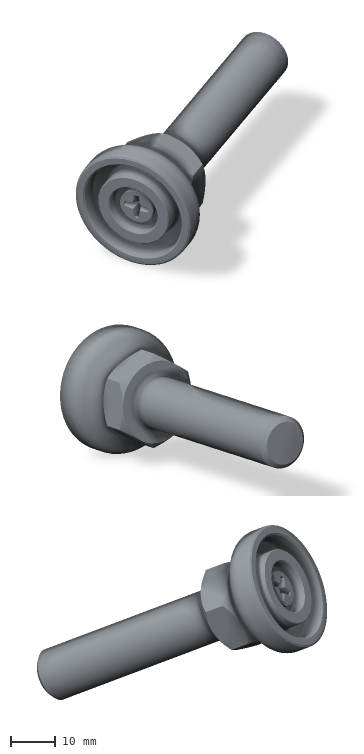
import cadquery as cq
import math

total_length = 67.8
edge_fillet = 0.5

shank_radius = 6.05
shank_tip_chamfer = 1.1
shank_root_fillet = 0.95
hex_across_flats = 19.0
hex_start = 10.25
hex_end = 17.9

screw_head_radius = 4.15
screw_head_face_y = 2.0
screw_shank_radius = 2.5
screw_tip_y = 14.9

recess_reach = 3.05
recess_tip_half_width = 0.6
recess_center_half_width = 1.0
recess_tip_depth = 1.0
recess_center_depth = 2.85
recess_core_radius = 1.35
recess_core_depth = 2.4

foot_radius = 14.5
rim_edge_radius = 14.45
rim_edge_y = 0.3
rim_draft_height = 0.95
rim_face_outer_radius = 14.05
rim_height = 4.0
shoulder_arc_radius = 3.8
shoulder_end_y = 7.05
dome_mid_radius = 10.6
dome_mid_y = 8.9
dome_top_radius = 7.7

groove_outer_radius = 12.15
groove_rim_chamfer = 0.4
groove_wall_end_y = rim_height
groove_slope = math.radians(30)
boss_radius = 8.9
boss_face_y = 0.35
boss_edge_chamfer = 0.2

bore_radius = 6.0
bore_edge_chamfer = 0.3
bore_wall_end_y = 2.85
bore_seat_y = 3.5


def revolve_about_y(profile):
    return profile.close().revolve(360, (0, 0, 0), (0, 1, 0))


def cylinder_along_y(radius, start_y, end_y):
    return cq.Workplane("XZ", origin=(0, start_y, 0)).circle(radius).extrude(start_y - end_y)


def on_arc(center, radius, angle):
    """Point on a circle in the XY plane, at an angle from +X toward +Y."""
    return (center[0] + radius * math.cos(angle), center[1] + radius * math.sin(angle))


def make_hexagon():
    corner_radius = hex_across_flats / math.sqrt(3)
    flat_radius = hex_across_flats / 2
    corner_cut = corner_radius - flat_radius
    prism = (
        cq.Workplane("XZ", origin=(0, hex_end, 0))
        .transformed(rotate=(0, 0, 90))
        .polygon(6, 2 * corner_radius)
        .extrude(hex_end - hex_start)
    )
    envelope = revolve_about_y(
        cq.Workplane("XY")
        .moveTo(0, hex_start)
        .lineTo(flat_radius, hex_start)
        .lineTo(corner_radius, hex_start + corner_cut)
        .lineTo(corner_radius, hex_end - corner_cut)
        .lineTo(flat_radius, hex_end)
        .lineTo(0, hex_end)
    )
    return prism.intersect(envelope)


def make_shank():
    arc_offset = shank_root_fillet * (1 - math.sqrt(0.5))
    return revolve_about_y(
        cq.Workplane("XY")
        .moveTo(0, hex_end)
        .lineTo(shank_radius + shank_root_fillet, hex_end)
        .threePointArc(
            (shank_radius + arc_offset, hex_end + arc_offset),
            (shank_radius, hex_end + shank_root_fillet),
        )
        .lineTo(shank_radius, total_length - shank_tip_chamfer)
        .lineTo(shank_radius - shank_tip_chamfer, total_length)
        .lineTo(0, total_length)
    )


def make_screw_blank():
    head = cylinder_along_y(screw_head_radius, screw_head_face_y, bore_seat_y)
    shank = cylinder_along_y(screw_shank_radius, bore_seat_y, screw_tip_y)
    return head.union(shank)


def make_recess_arm():
    """V-shaped groove along +X, widest and deepest on the screw axis."""

    def v_section(half_width, depth):
        return [
            (screw_head_face_y, -half_width),
            (screw_head_face_y, half_width),
            (screw_head_face_y + depth, 0),
        ]

    return (
        cq.Workplane("YZ")
        .polyline(v_section(recess_center_half_width, recess_center_depth))
        .close()
        .workplane(offset=recess_reach)
        .polyline(v_section(recess_tip_half_width, recess_tip_depth))
        .close()
        .loft(ruled=True)
    )


def make_recess_core():
    """Conical hollow that opens the corners between the arms."""
    return revolve_about_y(
        cq.Workplane("XY")
        .moveTo(0, screw_head_face_y)
        .lineTo(recess_core_radius, screw_head_face_y)
        .lineTo(0, screw_head_face_y + recess_core_depth)
    )


def make_stud():
    return make_hexagon().union(make_shank()).cut(make_screw_blank())


def make_screw():
    screw = make_screw_blank().cut(make_recess_core())
    arm = make_recess_arm()
    for turn in range(4):
        screw = screw.cut(arm.rotate((0, 0, 0), (0, 1, 0), 90 * turn))
    return screw


def make_foot():
    right_angle = math.pi / 2
    shoulder_center = (foot_radius - shoulder_arc_radius, rim_height)
    shoulder_angle = math.asin((shoulder_end_y - rim_height) / shoulder_arc_radius)
    wall_corner = (groove_outer_radius - edge_fillet, groove_wall_end_y)
    floor_angle = right_angle - groove_slope
    floor_start = on_arc(wall_corner, edge_fillet, floor_angle)
    root_center_radius = boss_radius + edge_fillet
    floor_end_radius = root_center_radius + edge_fillet * math.cos(floor_angle)
    floor_end_y = floor_start[1] + (floor_start[0] - floor_end_radius) * math.tan(groove_slope)
    root_center = (root_center_radius, floor_end_y - edge_fillet * math.sin(floor_angle))
    bore_corner = (bore_radius - edge_fillet, bore_wall_end_y)

    body = revolve_about_y(
        cq.Workplane("XY")
        .moveTo(groove_outer_radius, groove_wall_end_y)
        .lineTo(groove_outer_radius, groove_rim_chamfer)
        .lineTo(groove_outer_radius + groove_rim_chamfer, 0)
        .lineTo(rim_face_outer_radius, 0)
        .lineTo(rim_edge_radius, rim_edge_y)
        .lineTo(foot_radius, rim_draft_height)
        .lineTo(foot_radius, rim_height)
        .threePointArc(
            on_arc(shoulder_center, shoulder_arc_radius, shoulder_angle / 2),
            on_arc(shoulder_center, shoulder_arc_radius, shoulder_angle),
        )
        .threePointArc((dome_mid_radius, dome_mid_y), (dome_top_radius, hex_start))
        .lineTo(0, hex_start)
        .lineTo(0, bore_seat_y)
        .lineTo(screw_head_radius, bore_seat_y)
        .lineTo(*on_arc(bore_corner, edge_fillet, right_angle))
        .threePointArc(
            on_arc(bore_corner, edge_fillet, right_angle / 2),
            on_arc(bore_corner, edge_fillet, 0),
        )
        .lineTo(bore_radius, boss_face_y + bore_edge_chamfer)
        .lineTo(bore_radius + bore_edge_chamfer, boss_face_y)
        .lineTo(boss_radius - boss_edge_chamfer, boss_face_y)
        .lineTo(boss_radius, boss_face_y + boss_edge_chamfer)
        .lineTo(boss_radius, root_center[1])
        .threePointArc(
            on_arc(root_center, edge_fillet, (math.pi + floor_angle) / 2),
            (floor_end_radius, floor_end_y),
        )
        .lineTo(*floor_start)
        .threePointArc(
            on_arc(wall_corner, edge_fillet, floor_angle / 2),
            (groove_outer_radius, groove_wall_end_y),
        )
    )
    return body.cut(make_screw_blank())


stud = make_stud()
foot = make_foot()
screw = make_screw()
result = cq.Compound.makeCompound([stud.val(), foot.val(), screw.val()])